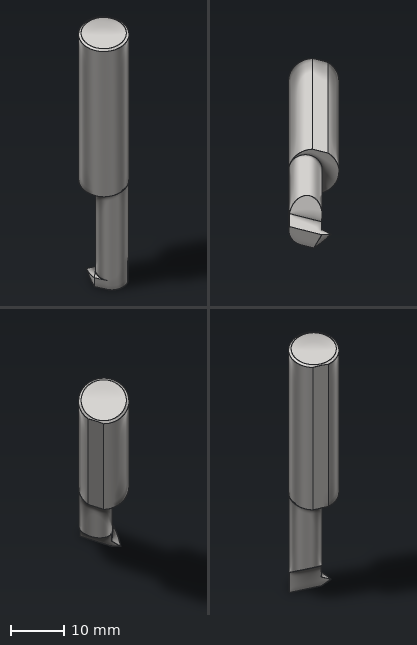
import cadquery as cq

total_length = 63.5
shank_diameter = 9.5
shank_radius = shank_diameter / 2
shank_flat_y = 4.5
shank_chamfer_height = 0.25
shank_chamfer_width = 0.5

neck_length = 25.4
neck_diameter = 6.3
neck_radius = neck_diameter / 2
neck_x = shank_radius - neck_radius

relief_height = 5.4
relief_overshoot = 0.65

head_height = 2.35
tip_x = -3.4
tip_height = 1.2
heel_x = -0.9
clearance_mid_x = -2.35
clearance_mid_y = -neck_radius / 2
wedge_base_x = neck_x - neck_radius


def make_shank():
    """Cylinder with a tapered top edge and a shallow flat along the +Y side."""
    shank = (
        cq.Workplane("XY")
        .workplane(offset=neck_length)
        .circle(shank_radius)
        .extrude(total_length - neck_length)
        .faces(">Z")
        .chamfer(shank_chamfer_height, shank_chamfer_width)
    )
    flat_cutter = (
        cq.Workplane("XY")
        .box(shank_diameter, shank_diameter, total_length, centered=(True, False, False))
        .translate((0, shank_flat_y, 0))
    )
    return shank.cut(flat_cutter)


def make_neck():
    """Round neck with its +Y half removed below a 45 degree run-out."""
    neck = cq.Workplane("XY").center(neck_x, 0).circle(neck_radius).extrude(neck_length)
    depth = neck_radius + relief_overshoot
    relief = (
        cq.Workplane("YZ")
        .polyline([(0, 0), (depth, 0), (depth, relief_height + depth), (0, relief_height)])
        .close()
        .extrude(neck_radius + relief_overshoot, both=True)
        .translate((neck_x, 0, 0))
    )
    return neck.cut(relief)


def make_head():
    """Tooth with a curved clearance face and two relieved flanks meeting at the tip."""
    plan = (
        cq.Workplane("XY")
        .moveTo(tip_x, 0)
        .threePointArc((clearance_mid_x, clearance_mid_y), (heel_x, -neck_radius))
        .lineTo(neck_x, -neck_radius)
        .lineTo(neck_x, 0)
        .close()
        .extrude(head_height)
    )
    outline = (
        cq.Workplane("XZ")
        .moveTo(tip_x, tip_height)
        .lineTo(wedge_base_x, 0)
        .lineTo(shank_radius, 0)
        .lineTo(shank_radius, head_height)
        .lineTo(wedge_base_x, head_height)
        .close()
        .val()
    )
    lean = cq.Vector(heel_x - wedge_base_x, -neck_radius, 0)
    wedge = cq.Workplane(cq.Solid.extrudeLinear(outline, [], lean))
    return plan.intersect(wedge)


result = make_shank().union(make_neck()).union(make_head())